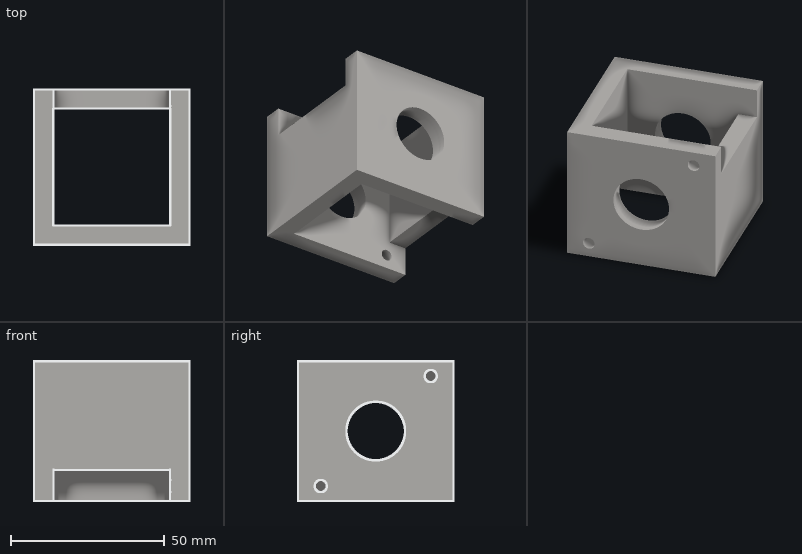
import cadquery as cq

width = 50.8
depth = 50.8
height = 45.72
wall = 6.35

step = 10.16

bore_diameter = 19.05
pin_diameter = 3.969
pin_from_edge = 7.45
pin_from_end = 4.9

inner_width = width - 2 * wall
inner_depth = depth - 2 * wall
wall_center_y = (depth - wall) / 2
step_center_z = (height - step) / 2
pin_y = depth / 2 - pin_from_edge
pin_z = height / 2 - pin_from_end


def frame():
    """Square tube, open at the top and bottom, centred on the origin."""
    outer = cq.Workplane("XY").box(width, depth, height)
    return outer.cut(cq.Workplane("XY").box(inner_width, inner_depth, height))


def wall_step(y, z):
    """Block that removes one end of the front or rear wall between the side walls."""
    return cq.Workplane("XY").box(inner_width, wall, step).translate((0, y, z))


def bore():
    """Cylinder along X that passes through both side walls."""
    return cq.Workplane("YZ").circle(bore_diameter / 2).extrude(width / 2, both=True)


def pin_hole(y, z):
    """Cylinder along X that passes through the +X side wall."""
    plane = cq.Workplane("YZ", origin=(inner_width / 2, 0, 0))
    return plane.center(y, z).circle(pin_diameter / 2).extrude(wall)


result = frame().cut(bore())
for side in (1, -1):
    result = result.cut(wall_step(side * wall_center_y, side * step_center_z))
    result = result.cut(pin_hole(side * pin_y, side * pin_z))